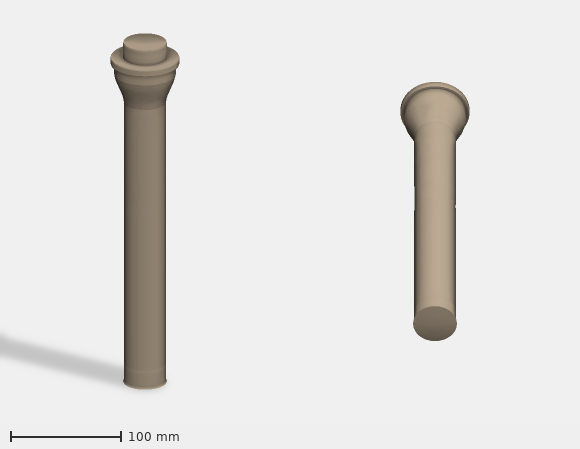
import cadquery as cq

flange_diameter = 62.5
head_diameter = 56.0
stub_base_diameter = 40.0
stub_tip_diameter = 39.5
collar_diameter = 38.0
tube_diameter = 37.5
lip_diameter = 39.5

total_height = 336.0
lip_height = 1.5
lip_flare_top = 3.7
foot_taper_bottom = 16.8
foot_taper_top = 19.8
joint_height = 166.5
collar_bottom = 271.8
collar_top = 277.0
neck_height = 286.5
bell_top = 305.0
flange_bottom = 314.5
flange_top = 321.2
stub_taper_bottom = 327.3
stub_taper_top = 330.5

flange_break_depth = 0.5
flange_break_height = 1.0
stub_break_depth = 0.5
stub_break_height = 1.5
neck_radius = 21.5
bell_middle_radius = 25.5
bell_middle_height = 296.0

flange_radius = flange_diameter / 2
head_radius = head_diameter / 2
stub_base_radius = stub_base_diameter / 2
stub_tip_radius = stub_tip_diameter / 2
collar_radius = collar_diameter / 2
tube_radius = tube_diameter / 2
lip_radius = lip_diameter / 2


def revolve_profile(profile):
    """Close a radius-height outline and turn it about the Z axis."""
    return profile.close().revolve(360, (0, 0, 0), (0, 1, 0))


def make_tube():
    """Lower tube with a slightly wider foot and a flared lip and domed end."""
    profile = (
        cq.Workplane("XZ")
        .moveTo(0, 0)
        .spline([(lip_radius, lip_height)], tangents=[(1, 0), (lip_radius, 2 * lip_height)], includeCurrent=True)
        .spline([(collar_radius, lip_flare_top)], tangents=[(-1, 1), (0, 1)], includeCurrent=True)
        .lineTo(collar_radius, foot_taper_bottom)
        .lineTo(tube_radius, foot_taper_top)
        .lineTo(tube_radius, joint_height)
        .lineTo(0, joint_height)
    )
    return revolve_profile(profile)


def make_head():
    """Upper body: tapered grip, collar, bell, flange and end stub."""
    profile = (
        cq.Workplane("XZ")
        .moveTo(0, joint_height)
        .lineTo(tube_radius, joint_height)
        .lineTo(collar_radius, collar_bottom)
        .lineTo(collar_radius, collar_top)
        .spline(
            [(neck_radius, neck_height), (bell_middle_radius, bell_middle_height), (head_radius, bell_top)],
            includeCurrent=True,
        )
        .lineTo(head_radius, flange_bottom)
        .lineTo(flange_radius - flange_break_depth, flange_bottom)
        .lineTo(flange_radius, flange_bottom + flange_break_height)
        .lineTo(flange_radius, flange_top - flange_break_height)
        .lineTo(flange_radius - flange_break_depth, flange_top)
        .lineTo(stub_base_radius, flange_top)
        .lineTo(stub_base_radius, stub_taper_bottom)
        .lineTo(stub_tip_radius, stub_taper_top)
        .lineTo(stub_tip_radius, total_height - stub_break_height)
        .lineTo(stub_tip_radius - stub_break_depth, total_height)
        .lineTo(0, total_height)
    )
    return revolve_profile(profile)


tube = make_tube()
head = make_head()

result = cq.Compound.makeCompound([tube.val(), head.val()])